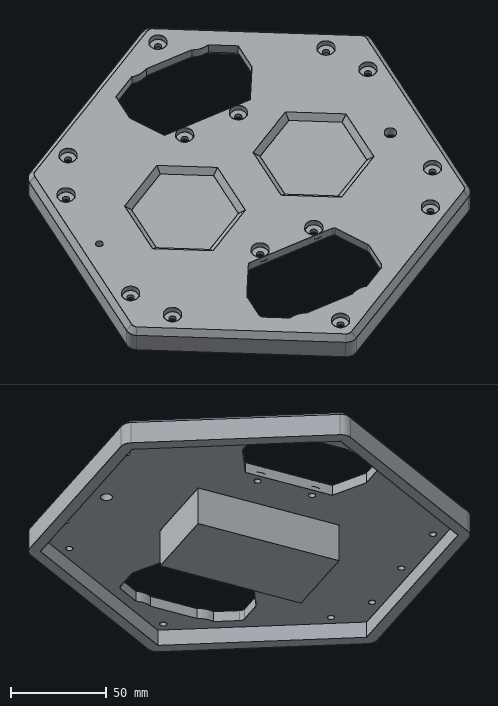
import cadquery as cq
import math


width_across_flats = 203.2
overall_height = 28.65
plate_height = 15.875
corner_radius = 6.35
edge_chamfer = 3.175
skin_thickness = 6.35
rim_wall = 6.35

block_length_x = 45.72
block_length_y = 82.3
block_offset_x = -0.4

pocket_across_corners = 63.5
pocket_depth = 3.175
pocket_slope_inset = 3.175
pocket_offset_y = 38.1

screw_diameter = 3.81
counterbore_diameter = 9.53
counterbore_depth = 3.81
corner_screw_radius = 96.7
corner_screw_half_angle = 7.75
side_screw_x = 103.5
inner_screw_x = 42.8
inner_screw_y = 15.9

large_hole_diameter = 6.35
large_hole_center = (5.9, 80.6)
small_hole_center = (0, -88.9)

opening_inner_x = 47.625
opening_inner_half_y = 25.4
opening_inner_radius = 1.6
opening_flat_radius = 3.175
opening_half_y = 36.2
opening_flat_end_x = 81.9
opening_slope_run_x = 7.8
opening_bulge = (89.3, 18.5)
opening_outer = (90.8, 13.5)

top_z = plate_height
skin_bottom_z = top_z - skin_thickness
block_bottom_z = plate_height - overall_height
opening_flat_start_x = opening_inner_x + (opening_half_y - opening_inner_half_y) * math.tan(math.radians(60))
opening_shoulder = (
    opening_flat_end_x + opening_slope_run_x,
    opening_half_y - opening_slope_run_x * math.tan(math.radians(60)),
)
corners_per_flat = 1 / math.cos(math.radians(30))


def hexagon_prism(across_flats, bottom_z, height):
    """Hexagonal prism with two corners on the X axis."""
    return (
        cq.Workplane("XY")
        .workplane(offset=bottom_z)
        .polygon(6, across_flats * corners_per_flat)
        .extrude(height)
    )


def make_shell():
    """Rounded and chamfered hexagon, hollowed from below."""
    body = hexagon_prism(width_across_flats, 0, plate_height)
    body = body.edges("|Z").fillet(corner_radius)
    body = body.faces(">Z").chamfer(edge_chamfer)
    cavity = hexagon_prism(width_across_flats - 2 * rim_wall, 0, skin_bottom_z)
    return body.cut(cavity)


def make_block():
    """Rectangular block reaching down from the underside of the skin."""
    return (
        cq.Workplane("XY")
        .workplane(offset=block_bottom_z)
        .center(block_offset_x, 0)
        .rect(block_length_x, block_length_y)
        .extrude(skin_bottom_z - block_bottom_z)
    )


def make_pocket(center_y):
    """Shallow hexagonal pocket that narrows toward its floor."""
    slope_angle = math.degrees(math.atan2(pocket_slope_inset, pocket_depth))
    return (
        cq.Workplane("XY")
        .workplane(offset=top_z)
        .center(0, center_y)
        .polygon(6, pocket_across_corners)
        .extrude(-pocket_depth, taper=slope_angle)
    )


def make_opening():
    """Through opening on the +X side of the plate."""

    def below(point):
        return (point[0], -point[1])

    return (
        cq.Workplane("XY")
        .moveTo(opening_inner_x, -opening_inner_half_y)
        .lineTo(opening_inner_x, opening_inner_half_y)
        .lineTo(opening_flat_start_x, opening_half_y)
        .lineTo(opening_flat_end_x, opening_half_y)
        .lineTo(*opening_shoulder)
        .threePointArc(opening_bulge, opening_outer)
        .lineTo(*below(opening_outer))
        .threePointArc(below(opening_bulge), below(opening_shoulder))
        .lineTo(opening_flat_end_x, -opening_half_y)
        .lineTo(opening_flat_start_x, -opening_half_y)
        .close()
        .extrude(plate_height)
    )


def round_opening(opening):
    """Round the inner, flat-start and flat-end corners of an opening."""
    margin = 1
    half_y = opening_half_y + margin
    flat_corner_edges = cq.selectors.BoxSelector(
        (opening_flat_start_x - margin, -half_y, 0),
        (opening_flat_end_x + margin, half_y, plate_height),
    )
    rounded = opening.edges("|Z and <X").fillet(opening_inner_radius)
    return rounded.edges("|Z").edges(flat_corner_edges).fillet(opening_flat_radius)


def screw_positions():
    """Pairs at the four slanted corners, one at each X corner, four near the middle."""
    points = [(side_screw_x, 0), (-side_screw_x, 0)]
    for corner_angle in (60, 120, 240, 300):
        for side in (-1, 1):
            angle = math.radians(corner_angle + side * corner_screw_half_angle)
            points.append((corner_screw_radius * math.cos(angle), corner_screw_radius * math.sin(angle)))
    for side_x in (-1, 1):
        for side_y in (-1, 1):
            points.append((side_x * inner_screw_x, side_y * inner_screw_y))
    return points


def make_holes(points, diameter, depth):
    """Round cutters going down from the top face."""
    return (
        cq.Workplane("XY")
        .workplane(offset=top_z)
        .pushPoints(points)
        .circle(diameter / 2)
        .extrude(-depth)
    )


result = make_shell().union(make_block())

for pocket_y in (-pocket_offset_y, pocket_offset_y):
    result = result.cut(make_pocket(pocket_y))

opening = make_opening()
result = result.cut(round_opening(opening)).cut(opening.mirror("YZ"))

result = result.cut(make_holes(screw_positions(), screw_diameter, plate_height))
result = result.cut(make_holes(screw_positions(), counterbore_diameter, counterbore_depth))
result = result.cut(make_holes([large_hole_center], large_hole_diameter, plate_height))
result = result.cut(make_holes([small_hole_center], screw_diameter, plate_height))